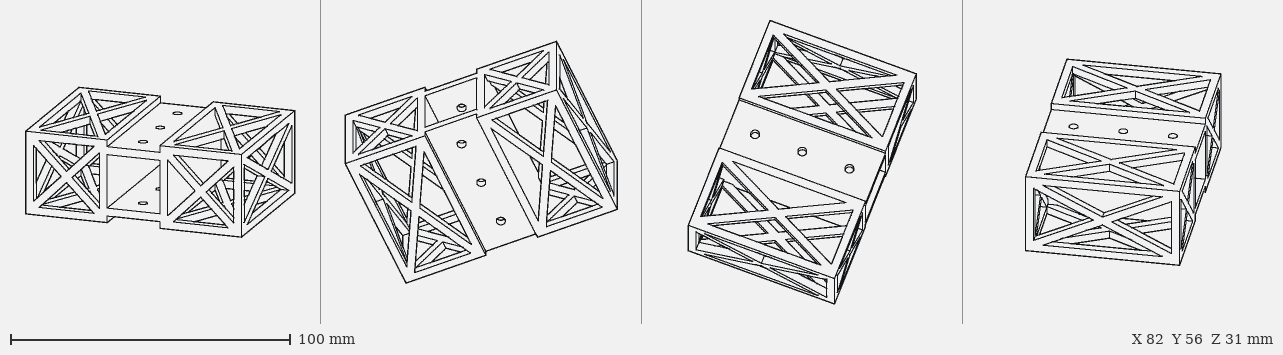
import cadquery as cq
import math

LENGTH_X = 82.0
WIDTH_Y = 56.0
HEIGHT_Z = 31.0

BOX_SIDE = HEIGHT_Z
BOX_CLEAR_SIDE = 25.0
WALL = (BOX_SIDE - BOX_CLEAR_SIDE) / 2
BOX_CLEAR_Y = WIDTH_Y - 2 * WALL
BOX_CENTER_X = (LENGTH_X - BOX_SIDE) / 2
BRACE = WALL

CHANNEL = LENGTH_X - 2 * BOX_SIDE

HOLE_DIAMETER = 3.2
HOLE_PITCH = 18.0
HOLE_COUNT = 3


def block(size_x, size_y, size_z, center_x=0.0):
    return cq.Workplane("XY").box(size_x, size_y, size_z).translate((center_x, 0, 0))


def window_cutter(width, height, depth):
    """Four triangular prisms: a width x height window minus its crossed diagonal braces."""
    bar_length = 2 * math.hypot(width, height)
    angle = math.degrees(math.atan2(height, width))
    cutter = cq.Workplane("XY").box(width, height, depth)
    for tilt in (angle, -angle):
        bar = cq.Workplane("XY").box(bar_length, BRACE, depth)
        cutter = cutter.cut(bar.rotate((0, 0, 0), (0, 0, 1), tilt))
    return cutter


def truss_box(side):
    """Hollow box with braced faces all round except the solid wall facing the channel."""
    center_x = side * BOX_CENTER_X
    outside = block(BOX_SIDE, WIDTH_Y, BOX_SIDE, center_x)
    inside = block(BOX_CLEAR_SIDE, BOX_CLEAR_Y, BOX_CLEAR_SIDE, center_x)
    box = outside.cut(inside)

    top_cutter = window_cutter(BOX_CLEAR_SIDE, BOX_CLEAR_Y, BOX_SIDE)
    box = box.cut(top_cutter.translate((center_x, 0, 0)))

    end_cutter = window_cutter(BOX_CLEAR_SIDE, BOX_CLEAR_SIDE, WIDTH_Y)
    end_cutter = end_cutter.rotate((0, 0, 0), (1, 0, 0), 90)
    box = box.cut(end_cutter.translate((center_x, 0, 0)))

    side_cutter = window_cutter(BOX_CLEAR_SIDE, BOX_CLEAR_Y, WALL)
    side_cutter = side_cutter.rotate((0, 0, 0), (0, 1, 0), 90)
    return box.cut(side_cutter.translate((side * (LENGTH_X - WALL) / 2, 0, 0)))


def missing_arm_cutter():
    """Triangle that merges two windows of the -X box's +Y face, whose brace lacks its +X, +Z arm."""
    corner = BOX_CLEAR_SIDE / 2
    brace_offset = BRACE / math.sqrt(2)
    triangle = [(corner, corner), (brace_offset - corner, corner), (corner, brace_offset - corner)]
    cutter = cq.Workplane("XZ").polyline(triangle).close().extrude(WALL)
    return cutter.translate((-BOX_CENTER_X, WIDTH_Y / 2, 0))


def channel_plates():
    """Top and bottom plates of the channel, drilled through along the centre line."""
    plates = block(CHANNEL, WIDTH_Y, CHANNEL + 2 * WALL).cut(block(CHANNEL, WIDTH_Y, CHANNEL))
    holes = (
        cq.Workplane("XY")
        .rarray(0.8, HOLE_PITCH, 1, HOLE_COUNT)
        .circle(HOLE_DIAMETER / 2)
        .extrude(HEIGHT_Z / 2, both=True)
    )
    return plates.cut(holes)


result = channel_plates()
for box_side in (-1, 1):
    result = result.union(truss_box(box_side))
result = result.cut(missing_arm_cutter())